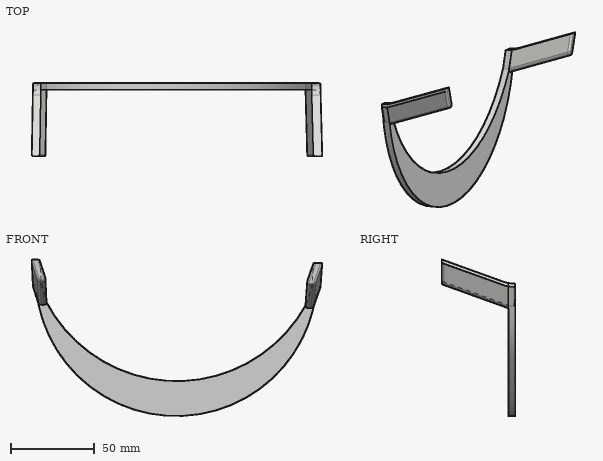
import cadquery as cq
import math

thickness = 4.2
outer_bottom_z = 0.0
inner_bottom_z = 21.0
outer_joint = (82.5, 67.0)
inner_joint = (77.6, 67.5)

depth = 44.0
lean = math.radians(19)
arm_width = 5.4
arm_height = 12.8
arm_top_z = 78.3
arm_outer_x = 86.3
arm_splay = 0.9
rise_angle = math.radians(19.8)
bend_radius = 17.4
trim_stock = 0.9
lower_round = 1.9
tip_round = 1.2
lip_height = 1.7
back_round = 1.0

tilt_degrees = 0.7


margin = 0.2
foot_x = arm_outer_x - arm_height * math.tan(lean)
foot_z = arm_top_z - arm_height
stock_z = arm_top_z + trim_stock
stock_outer_x = arm_outer_x + trim_stock * math.tan(lean)
stock_inner_x = stock_outer_x - arm_width


def outer_profile(has_lip):
    """Corners down the outer side at the top of an arm, with trim stock."""
    if not has_lip:
        return [(stock_outer_x, stock_z)]
    lip_x = arm_outer_x - lip_height * math.tan(lean)
    return [(lip_x, stock_z), (lip_x, arm_top_z - lip_height)]


def make_band():
    left_corners = [(-x, z) for x, z in outer_profile(has_lip=True)]
    left_joint = (-outer_joint[0], outer_joint[1])
    return (
        cq.Workplane("XZ")
        .polyline([(-stock_inner_x, stock_z)] + left_corners + [left_joint])
        .threePointArc((0, outer_bottom_z), outer_joint)
        .lineTo(stock_outer_x, stock_z)
        .lineTo(stock_inner_x, stock_z)
        .lineTo(*inner_joint)
        .threePointArc((0, inner_bottom_z), (-inner_joint[0], inner_joint[1]))
        .close()
        .extrude(thickness)
    )


def make_arm(has_lip):
    """Arm on the +X side, sheared outward and upward towards its tip."""
    reach = depth - thickness
    along = cq.Vector(arm_splay, -reach, reach * math.tan(rise_angle))
    section = outer_profile(has_lip) + [
        (foot_x, foot_z),
        (foot_x - arm_width, foot_z),
        (stock_inner_x, stock_z),
    ]
    corners = [cq.Vector(x, -thickness, z) for x, z in section]
    root = cq.Face.makeFromWires(cq.Wire.makePolygon(corners, close=True))
    arm = cq.Workplane(cq.Solid.extrudeLinear(root, along))
    lengthwise = cq.selectors.ParallelDirSelector(along)
    arm = arm.edges(lengthwise).edges("<Z").fillet(lower_round)
    return arm.faces("<Y").edges("not >Z").fillet(tip_round)


def trim_top(body):
    """Cut the tops flat over the band, then bending up tangentially along the arms."""
    half_angle = rise_angle / 2
    tangent_length = bend_radius * math.tan(half_angle)
    flat_end = tangent_length - thickness
    bend_middle = (
        flat_end - bend_radius * math.sin(half_angle),
        arm_top_z + bend_radius * (1 - math.cos(half_angle)),
    )
    bend_end = (
        flat_end - bend_radius * math.sin(rise_angle),
        arm_top_z + bend_radius * (1 - math.cos(rise_angle)),
    )
    past_tip = 2 * depth
    far_z = arm_top_z + (past_tip - thickness) * math.tan(rise_angle)
    waste = (
        cq.Workplane("YZ")
        .moveTo(thickness, arm_top_z)
        .lineTo(flat_end, arm_top_z)
        .threePointArc(bend_middle, bend_end)
        .lineTo(-past_tip, far_z)
        .lineTo(thickness, far_z)
        .close()
        .extrude(2 * arm_outer_x, both=True)
    )
    return body.cut(waste)


def round_back(body):
    """Round the back edge along the outer side and over both tops."""
    back_edges = cq.selectors.BoxSelector(
        (-stock_outer_x, -margin, outer_bottom_z - margin),
        (stock_outer_x, margin, arm_top_z + margin),
    )
    inner_x = arm_outer_x - arm_width
    inner_edges = cq.selectors.BoxSelector(
        (-inner_x - margin, -margin, inner_bottom_z - margin),
        (inner_x + margin, margin, arm_top_z - margin),
    )
    return body.edges(back_edges - inner_edges).fillet(back_round)


right_arm = make_arm(has_lip=False)
left_arm = make_arm(has_lip=True).mirror("YZ")
bracket = round_back(trim_top(make_band().union(right_arm).union(left_arm)))
result = bracket.rotate((0, 0, 0), (0, 1, 0), tilt_degrees)